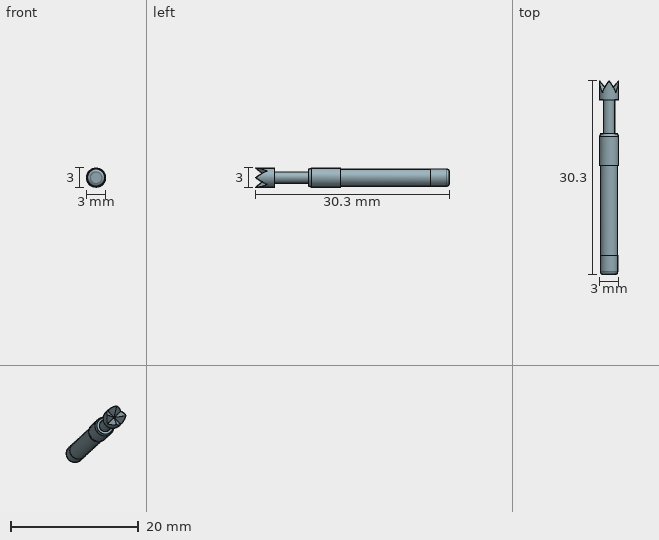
import cadquery as cq
import math

total_length = 30.3
head_radius = 1.5
head_length = 2.97
valley_depth = 1.8
tooth_count = 4
plunger_radius = 0.9
plunger_length = 5.27
collar_radius = head_radius
collar_length = 5.03
collar_taper_length = 0.45
collar_top_radius = 1.3
barrel_radius = 1.348
tail_cap_radius = 1.35
tail_cap_length = 2.97
tail_fillet = 0.45

head_base = total_length - head_length
collar_top = head_base - plunger_length
collar_bottom = collar_top - collar_length


def cylinder(radius, y_start, y_end):
    """Cylinder about the Y axis between two stations."""
    return cq.Workplane("XZ", origin=(0, y_start, 0)).circle(radius).extrude(y_start - y_end)


def make_collar():
    """Collar whose plunger end tapers down."""
    profile = (
        cq.Workplane("XY")
        .moveTo(0, collar_bottom)
        .lineTo(collar_radius, collar_bottom)
        .lineTo(collar_radius, collar_top - collar_taper_length)
        .lineTo(collar_top_radius, collar_top)
        .lineTo(0, collar_top)
        .close()
    )
    return profile.revolve(360, (0, 0, 0), (0, 1, 0))


def make_valley(angle):
    """Full-width V groove through the axis, turned about Y by the given angle."""
    half_width = head_radius * math.sin(math.pi / tooth_count)
    overrun = 2.0
    cutter_depth = valley_depth * overrun
    cutter_half_width = half_width * overrun
    valley_bottom = total_length - valley_depth
    groove = (
        cq.Workplane("XY")
        .moveTo(0, valley_bottom)
        .lineTo(cutter_half_width, valley_bottom + cutter_depth)
        .lineTo(-cutter_half_width, valley_bottom + cutter_depth)
        .close()
        .extrude(2 * head_radius, both=True)
    )
    return groove.rotate((0, 0, 0), (0, 1, 0), angle)


def make_crown():
    """Head with teeth pointing at +X, -X, +Z and -Z."""
    crown = cylinder(head_radius, head_base, total_length)
    tooth_pitch = 360 / tooth_count
    for index in range(tooth_count // 2):
        crown = crown.cut(make_valley((index + 0.5) * tooth_pitch))
    return crown


tail_cap = cylinder(tail_cap_radius, 0, tail_cap_length).faces("<Y").edges().fillet(tail_fillet)
barrel = cylinder(barrel_radius, tail_cap_length, collar_bottom)
plunger = cylinder(plunger_radius, collar_top, head_base)

result = tail_cap.union(barrel).union(make_collar()).union(plunger).union(make_crown())